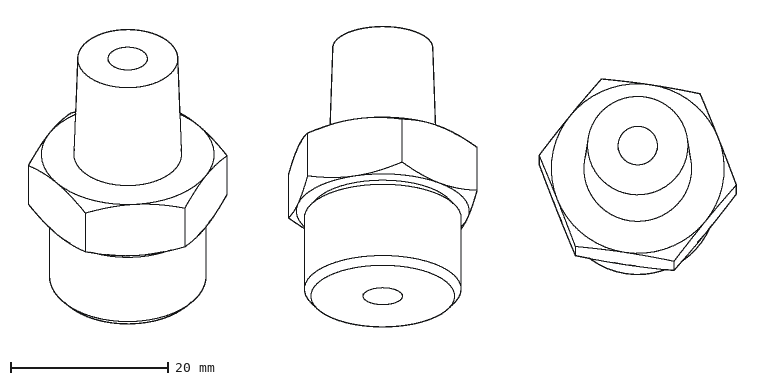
import cadquery as cq
import math

total_height = 35.0
lower_height = 12.0
hex_height = 8.0
hex_bottom = lower_height
hex_top = hex_bottom + hex_height

lower_radius = 20.0 / 2
chamfer_height = 0.98
chamfer_depth = 0.85

across_flats = 22.0
across_corners = across_flats / math.cos(math.radians(30))
corner_chamfer_angle = 30.0

taper_base_radius = 13.72 / 2
taper_top_radius = 12.78 / 2
bore_diameter = 5.0


def revolve_about_z(points):
    """Revolve a closed (radius, height) outline about the Z axis."""
    return cq.Workplane("XZ").polyline(points).close().revolve(360, (0, 0), (0, 1))


def make_lower_end():
    end_radius = lower_radius - chamfer_depth
    return revolve_about_z([
        (0, 0),
        (end_radius, 0),
        (lower_radius, chamfer_height),
        (lower_radius, hex_bottom - chamfer_height),
        (end_radius, hex_bottom),
        (0, hex_bottom),
    ])


def make_hexagon():
    prism = (
        cq.Workplane("XY", origin=(0, 0, hex_bottom))
        .polygon(6, across_corners)
        .extrude(hex_height)
        .rotate((0, 0, 0), (0, 0, 1), 30)
    )
    face_radius = across_flats / 2
    corner_radius = across_corners / 2
    corner_drop = (corner_radius - face_radius) * math.tan(math.radians(corner_chamfer_angle))
    envelope = revolve_about_z([
        (0, hex_bottom),
        (face_radius, hex_bottom),
        (corner_radius, hex_bottom + corner_drop),
        (corner_radius, hex_top - corner_drop),
        (face_radius, hex_top),
        (0, hex_top),
    ])
    return prism.intersect(envelope)


def make_tapered_end():
    return revolve_about_z([
        (0, hex_top),
        (taper_base_radius, hex_top),
        (taper_top_radius, total_height),
        (0, total_height),
    ])


bore = cq.Workplane("XY").circle(bore_diameter / 2).extrude(total_height)

result = make_lower_end().union(make_hexagon()).union(make_tapered_end()).cut(bore)